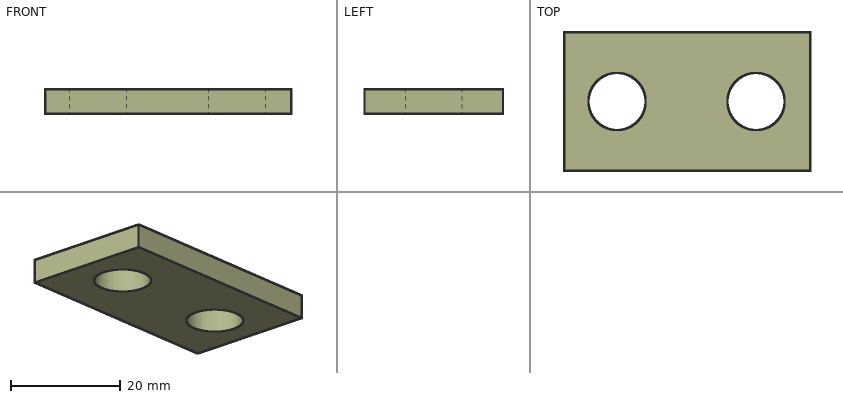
import cadquery as cq

length = 44.96
width = 25.4
thickness = 4.5

hole_diameter = 10.41
hole_spacing = 25.4
first_hole_from_left_end = 9.65


def make_plate():
    """Flat rectangular plate resting on Z = 0, centred in X and Y."""
    return cq.Workplane("XY").box(length, width, thickness, centered=(True, True, False))


def drill_holes(plate):
    """Drill the pair of through holes, spaced along X from the left end."""
    first_hole_x = -length / 2 + first_hole_from_left_end
    hole_centres = [(first_hole_x, 0), (first_hole_x + hole_spacing, 0)]
    return plate.faces(">Z").workplane().pushPoints(hole_centres).hole(hole_diameter)


result = drill_holes(make_plate())